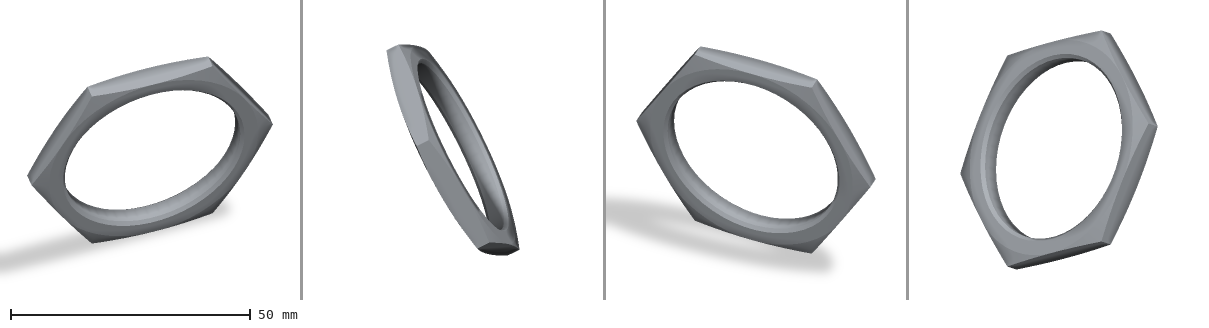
import cadquery as cq
import math

across_corners = 53.1
thickness = 4.8
bore_diameter = 38.6
bore_mouth_diameter = 40.0
corner_chamfer_angle = 15.0

across_flats = across_corners * math.cos(math.radians(30))
corner_radius = across_corners / 2
face_radius = across_flats / 2
corner_drop = (corner_radius - face_radius) * math.tan(math.radians(corner_chamfer_angle))
bore_chamfer = (bore_mouth_diameter - bore_diameter) / 2
half_thickness = thickness / 2


def hexagon_blank():
    """Hexagonal plate with its axis along X and two corners on the Y axis."""
    return (
        cq.Workplane("YZ")
        .polygon(6, across_corners)
        .extrude(half_thickness, both=True)
    )


def corner_envelope():
    """Disc with a conical rim on both faces, which bevels the hexagon corners."""
    rim_x = half_thickness - corner_drop
    return (
        cq.Workplane("XY")
        .moveTo(-half_thickness, 0)
        .lineTo(-half_thickness, face_radius)
        .lineTo(-rim_x, corner_radius)
        .lineTo(rim_x, corner_radius)
        .lineTo(half_thickness, face_radius)
        .lineTo(half_thickness, 0)
        .close()
        .revolve(360, (0, 0, 0), (1, 0, 0))
    )


def chamfered_bore():
    """Through bore with a 45 degree chamfer at both mouths."""
    bore_radius = bore_diameter / 2
    mouth_radius = bore_mouth_diameter / 2
    straight_x = half_thickness - bore_chamfer
    return (
        cq.Workplane("XY")
        .moveTo(-half_thickness, 0)
        .lineTo(-half_thickness, mouth_radius)
        .lineTo(-straight_x, bore_radius)
        .lineTo(straight_x, bore_radius)
        .lineTo(half_thickness, mouth_radius)
        .lineTo(half_thickness, 0)
        .close()
        .revolve(360, (0, 0, 0), (1, 0, 0))
    )


result = hexagon_blank().intersect(corner_envelope()).cut(chamfered_bore())